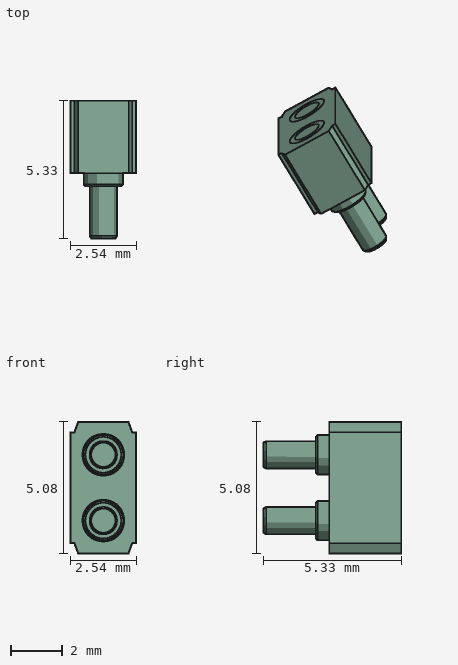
import cadquery as cq


total_length = 5.33
contact_count = 2
pitch = 2.54

housing_width = pitch
housing_height = 5.08
housing_depth = 2.795
notch_height = 0.405
notch_ledge = 0.15
crown_inset = 0.3
hole_flare = 0.04
hole_flare_depth = 0.265

barrel_diameter = 1.53
barrel_protrusion = 0.51
barrel_chamfer = 0.075

plunger_diameter = 1.06
tip_length = 0.105
tip_inset = 0.065

back_y = total_length / 2
housing_front_y = back_y - housing_depth
barrel_front_y = housing_front_y - barrel_protrusion
barrel_length = back_y - barrel_front_y
tip_y = back_y - total_length

contact_heights = [(i - (contact_count - 1) / 2) * pitch for i in range(contact_count)]


def rod(diameter, length, height):
    """Cylinder that runs from the back face toward -Y at the given Z."""
    return cq.Workplane("XZ", origin=(0, back_y, height)).circle(diameter / 2).extrude(length)


def turned(profile, height):
    """Solid of revolution about the contact axis from (radius, Y) points."""
    blank = cq.Workplane("XY").polyline(profile).close().revolve(360, (0, 0, 0), (0, 1, 0))
    return blank.translate((0, 0, height))


def make_flare(height):
    """Steep cone that widens a housing hole toward its mouth."""
    hole_radius = barrel_diameter / 2
    profile = [
        (0, housing_front_y),
        (hole_radius + hole_flare, housing_front_y),
        (hole_radius, housing_front_y + hole_flare_depth),
        (0, housing_front_y + hole_flare_depth),
    ]
    return turned(profile, height)


def make_housing():
    """Block with four notched corners and a flared through hole per contact."""
    half_width = housing_width / 2
    half_height = housing_height / 2
    shoulder_z = half_height - notch_height
    flank_x = half_width - notch_ledge
    crown_x = half_width - crown_inset
    right_edge = [
        (crown_x, -half_height),
        (flank_x, -shoulder_z),
        (half_width, -shoulder_z),
        (half_width, shoulder_z),
        (flank_x, shoulder_z),
        (crown_x, half_height),
    ]
    left_edge = [(-x, z) for x, z in reversed(right_edge)]
    body = (
        cq.Workplane("XZ", origin=(0, back_y, 0))
        .polyline(right_edge + left_edge)
        .close()
        .extrude(housing_depth)
    )
    for height in contact_heights:
        body = body.cut(rod(barrel_diameter, housing_depth, height)).cut(make_flare(height))
    return body


def make_barrel(height):
    """Sleeve that fills the housing hole, chamfered at its front rim."""
    sleeve = rod(barrel_diameter, barrel_length, height).faces("<Y").chamfer(barrel_chamfer)
    return sleeve.cut(rod(plunger_diameter, barrel_length, height))


def make_plunger(height):
    """Pin that fills the barrel bore and ends in a steep conical tip."""
    half_diameter = plunger_diameter / 2
    profile = [
        (0, back_y),
        (half_diameter, back_y),
        (half_diameter, tip_y + tip_length),
        (half_diameter - tip_inset, tip_y),
        (0, tip_y),
    ]
    return turned(profile, height)


housing = make_housing()
barrels = [make_barrel(height) for height in contact_heights]
plungers = [make_plunger(height) for height in contact_heights]

result = cq.Compound.makeCompound(
    [housing.val()]
    + [barrel.val() for barrel in barrels]
    + [plunger.val() for plunger in plungers]
)